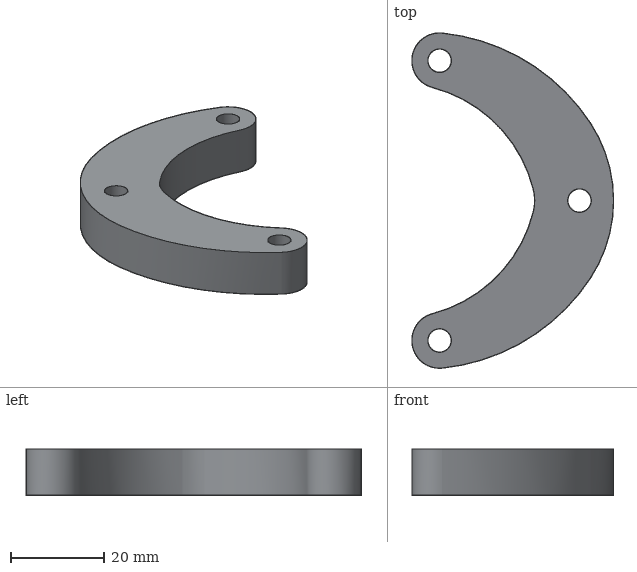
import cadquery as cq
import math

length = 72.0
thickness = 10.0
tip_radius = 6.0
hole_diameter = 5.0
outer_apex = 37.35
outer_nose_radius = 30.3
outer_flank_radius = 43.35
inner_apex = 20.4
inner_nose_radius = 10.0
inner_flank_radius = 30.0

hole_offset = length / 2 - tip_radius
tip_center = (0, hole_offset)


def flank_center(nose_center, tip_distance, nose_distance):
    """Lower point at the given distances from the upper tip and the nose center."""
    dx = nose_center[0] - tip_center[0]
    dy = nose_center[1] - tip_center[1]
    gap = math.hypot(dx, dy)
    along = (tip_distance**2 - nose_distance**2 + gap**2) / (2 * gap)
    across = math.sqrt(tip_distance**2 - along**2)
    return (
        tip_center[0] + (along * dx + across * dy) / gap,
        tip_center[1] + (along * dy - across * dx) / gap,
    )


def toward(start, target, distance):
    """Point at a distance from start, in the direction of target."""
    scale = distance / math.dist(start, target)
    return tuple(s + (t - s) * scale for s, t in zip(start, target))


def arc_middle(center, radius, start, end):
    """Middle of the shorter arc from start to end."""
    chord_middle = ((start[0] + end[0]) / 2, (start[1] + end[1]) / 2)
    return toward(center, chord_middle, radius)


def mirrored(point):
    """Reflection of a point in the X axis."""
    return (point[0], -point[1])


outer_nose = (outer_apex - outer_nose_radius, 0)
outer_center = flank_center(
    outer_nose, outer_flank_radius - tip_radius, outer_flank_radius - outer_nose_radius
)
outer_tip = toward(outer_center, tip_center, outer_flank_radius)
outer_joint = toward(outer_center, outer_nose, outer_flank_radius)
outer_middle = arc_middle(outer_center, outer_flank_radius, outer_tip, outer_joint)

inner_nose = (inner_apex - inner_nose_radius, 0)
inner_center = flank_center(
    inner_nose, inner_flank_radius + tip_radius, inner_flank_radius - inner_nose_radius
)
inner_tip = toward(inner_center, tip_center, inner_flank_radius)
inner_joint = toward(inner_center, inner_nose, inner_flank_radius)
inner_middle = arc_middle(inner_center, inner_flank_radius, inner_tip, inner_joint)

tip_end = (-tip_radius, hole_offset)

plate = (
    cq.Workplane("XY")
    .moveTo(*outer_tip)
    .threePointArc(outer_middle, outer_joint)
    .threePointArc((outer_apex, 0), mirrored(outer_joint))
    .threePointArc(mirrored(outer_middle), mirrored(outer_tip))
    .threePointArc(mirrored(tip_end), mirrored(inner_tip))
    .threePointArc(mirrored(inner_middle), mirrored(inner_joint))
    .threePointArc((inner_apex, 0), inner_joint)
    .threePointArc(inner_middle, inner_tip)
    .threePointArc(tip_end, outer_tip)
    .close()
    .extrude(thickness)
)

hole_centers = [tip_center, mirrored(tip_center), (hole_offset, 0)]
holes = (
    cq.Workplane("XY")
    .pushPoints(hole_centers)
    .circle(hole_diameter / 2)
    .extrude(thickness)
)

result = plate.cut(holes)